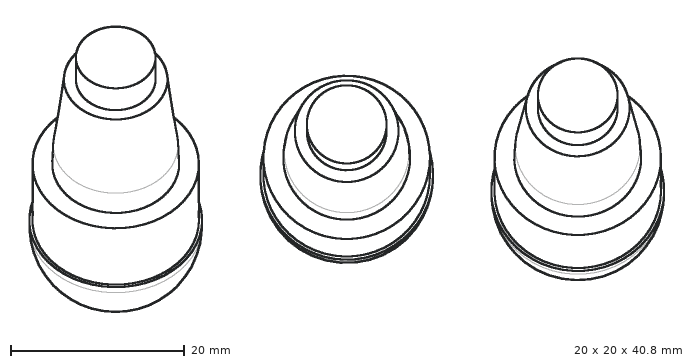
import cadquery as cq

total_height = 40.8

cap_radius = 10.0
rim_height = 1.0
cap_height = cap_radius + rim_height

collar_radius = 9.63
collar_top = 21.35
neck_base_radius = 7.35
neck_top_radius = 7.22
neck_height = 3.45
taper_top_radius = 6.0
pin_radius = 4.6
pin_height = 4.0

neck_top = collar_top + neck_height
taper_top = total_height - pin_height


def make_cap():
    """Solid hemisphere and rim, revolved from a half profile about Z."""
    quarter_offset = cap_radius * 0.5**0.5
    profile = (
        cq.Workplane("XZ")
        .threePointArc(
            (quarter_offset, cap_radius - quarter_offset),
            (cap_radius, cap_radius),
        )
        .lineTo(cap_radius, cap_height)
        .lineTo(0, cap_height)
        .close()
    )
    return profile.revolve(360, (0, 0, 0), (0, 1, 0))


def make_stem():
    """Collar, slightly drafted neck, taper and end pin, revolved as one solid about Z."""
    profile = (
        cq.Workplane("XZ")
        .moveTo(0, cap_height)
        .lineTo(collar_radius, cap_height)
        .lineTo(collar_radius, collar_top)
        .lineTo(neck_base_radius, collar_top)
        .lineTo(neck_top_radius, neck_top)
        .lineTo(taper_top_radius, taper_top)
        .lineTo(pin_radius, taper_top)
        .lineTo(pin_radius, total_height)
        .lineTo(0, total_height)
        .close()
    )
    return profile.revolve(360, (0, 0, 0), (0, 1, 0))


cap = make_cap()
stem = make_stem()

result = cq.Compound.makeCompound([cap.val(), stem.val()])